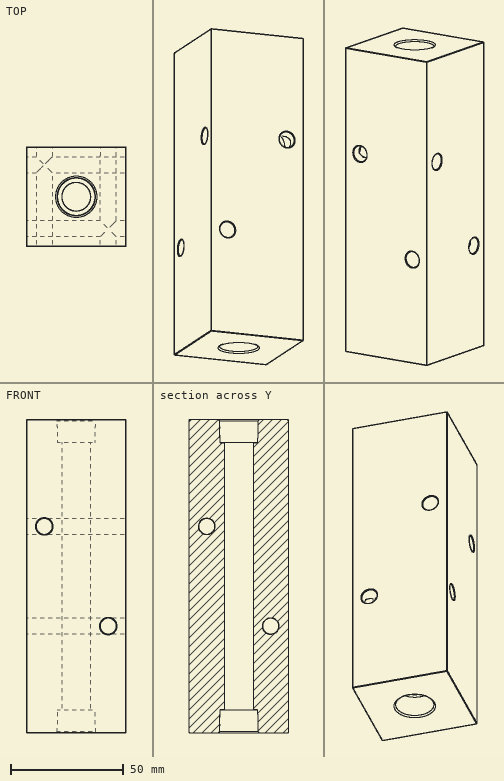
import cadquery as cq

length = 139.7
width = 44.4
edge_chamfer = 0.3

bore_diameter = 12.7
port_mouth_diameter = 17.0
port_floor_diameter = 16.6
port_depth = 10.3
port_chamfer = 0.7

cross_hole_diameter = 7.1
cross_hole_chamfer = 0.35
cross_hole_offset = 14.2
cross_hole_height = 22.2


def turned_cutter(half_profile):
    """Cutter turned about Z; half_profile lists (radius, height) down to the middle, mirrored below."""
    lower_half = [(radius, -height) for radius, height in reversed(half_profile)]
    top_height = half_profile[0][1]
    outline = [(0, top_height)] + half_profile + lower_half + [(0, -top_height)]
    return cq.Workplane("XZ").polyline(outline).close().revolve(360, (0, 0, 0), (0, 1, 0))


def stepped_bore():
    """Narrow bore right through, with a chamfered tapering port at each end."""
    end = length / 2
    mouth_radius = port_mouth_diameter / 2
    bore_radius = bore_diameter / 2
    return turned_cutter([
        (mouth_radius + port_chamfer, end),
        (mouth_radius, end - port_chamfer),
        (port_floor_diameter / 2, end - port_depth),
        (bore_radius, end - port_depth),
    ])


def cross_hole():
    """Straight hole across the block, chamfered at both faces."""
    face = width / 2
    radius = cross_hole_diameter / 2
    return turned_cutter([
        (radius + cross_hole_chamfer, face),
        (radius, face - cross_hole_chamfer),
    ])


block = cq.Workplane("XY").box(width, width, length).edges().chamfer(edge_chamfer)
block = block.cut(stepped_bore())

hole_along_y = cross_hole().rotate((0, 0, 0), (1, 0, 0), 90)
hole_along_x = cross_hole().rotate((0, 0, 0), (0, 1, 0), 90)
for side in (-1, 1):
    height = side * cross_hole_height
    sideways = side * cross_hole_offset
    block = block.cut(hole_along_y.translate((-sideways, 0, height)))
    block = block.cut(hole_along_x.translate((0, sideways, height)))

result = block